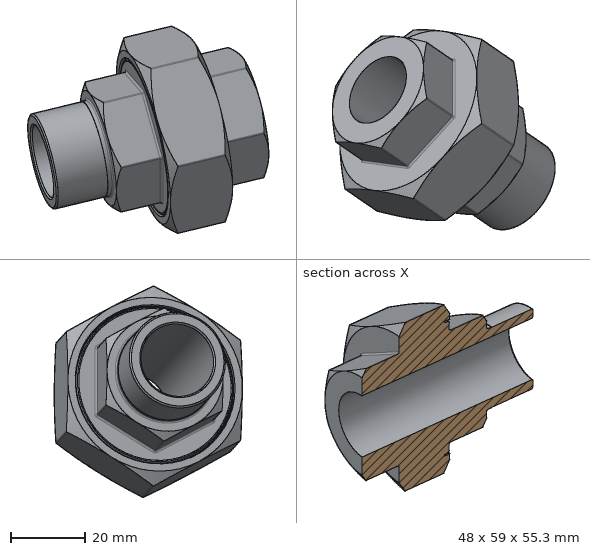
import cadquery as cq
import math


collar_start = 14.4
front_hex_start = 15.95
nut_start = 28.7
nut_end = 46.25
total_length = 59.0

nut_flats = 48.0
small_flats = 32.0
corner_rounding = 0.35
corner_chamfer_angle = 30.0
half_hex_sector = 360 / 12

bore_dia = 20.0
bore_chamfer = 0.44
spigot_dia = 26.45
spigot_tip_chamfer = 0.5
spigot_tip_chamfer_length = 0.4
collar_dia = 26.65
collar_fillet = 0.4

nut_mouth_dia = 44.0
seat_dia = 43.4
seat_chamfer = 0.35
pad_dia = 42.0
pad_height = 0.05
pad_recess = 0.2
gap_depth = 1.75
front_base_fillet = 0.6
rear_base_fillet = 0.5

plane_tolerance = 0.005


def cylinder(diameter, start, end):
    return cq.Workplane("XY").workplane(offset=start).circle(diameter / 2).extrude(end - start)


def hexagon(flats, start, end):
    """Hexagonal bar with flats facing +X and -X and slightly rounded corners."""
    across_corners = 2 * flats / math.sqrt(3)
    bar = cq.Workplane("XY").workplane(offset=start).polygon(6, across_corners).extrude(end - start)
    bar = bar.rotate((0, 0, 0), (0, 0, 1), half_hex_sector)
    return bar.edges("|Z").fillet(corner_rounding)


def bevelled_hexagon(flats, start, end, bevel_start, bevel_end):
    """Hexagon whose corners are turned down to a cone at the chosen ends."""
    face_radius = flats / 2
    outer_radius = flats / math.sqrt(3)
    bevel = (outer_radius - face_radius) * math.tan(math.radians(corner_chamfer_angle))
    start_radius = face_radius if bevel_start else outer_radius
    end_radius = face_radius if bevel_end else outer_radius
    envelope = (
        cq.Workplane("XZ")
        .moveTo(0, start)
        .lineTo(start_radius, start)
        .lineTo(outer_radius, start + bevel)
        .lineTo(outer_radius, end - bevel)
        .lineTo(end_radius, end)
        .lineTo(0, end)
        .close()
        .revolve(360, (0, 0, 0), (0, 1, 0))
    )
    return hexagon(flats, start, end).intersect(envelope)


def slab_at(level, reach):
    """Selector for whatever lies in one plane across the axis."""
    return cq.selectors.BoxSelector(
        (-reach, -reach, level - plane_tolerance),
        (reach, reach, level + plane_tolerance),
    )


def fillet_hex_base(body, flats, level, radius):
    """Round the inside corner where a hexagon meets the flat face at the given level."""
    side = flats / math.sqrt(3)
    at_level = body.edges(slab_at(level, flats))
    return at_level.filter(lambda edge: edge.Length() < side).fillet(radius)


def make_spigot():
    """Plain pipe end with a slightly larger collar against the front hexagon."""
    pipe = cylinder(spigot_dia, 0, collar_start)
    outer_radius = spigot_dia / 2
    tip = (
        cq.Workplane("XZ")
        .moveTo(outer_radius - spigot_tip_chamfer, 0)
        .lineTo(outer_radius, 0)
        .lineTo(outer_radius, spigot_tip_chamfer_length)
        .close()
        .revolve(360, (0, 0, 0), (0, 1, 0))
    )
    return pipe.cut(tip).union(cylinder(collar_dia, collar_start, front_hex_start))


def make_front_end():
    """Spigot, front hexagon and the round seat that sits in the mouth of the nut."""
    pad_face = nut_start + pad_recess
    seat_face = pad_face + pad_height
    seat_end = nut_start + gap_depth
    pad = cylinder(pad_dia, pad_face, seat_end)
    seat = cylinder(seat_dia, seat_face, seat_end).faces("<Z").edges().chamfer(seat_chamfer)
    hexagon_part = bevelled_hexagon(small_flats, front_hex_start, pad_face, True, False)
    body = hexagon_part.union(pad)
    body = fillet_hex_base(body, small_flats, pad_face, front_base_fillet)
    body = body.union(make_spigot())
    hex_face = body.faces(slab_at(front_hex_start, small_flats))
    collar_joint = hex_face.edges(cq.selectors.RadiusNthSelector(0))
    body = collar_joint.fillet(collar_fillet)
    return body.union(seat)


def make_nut():
    """Large hexagon with a round mouth that leaves a thin gap around the seat."""
    nut = bevelled_hexagon(nut_flats, nut_start, nut_end, True, True)
    return nut.cut(cylinder(nut_mouth_dia, nut_start, nut_start + gap_depth))


def make_nut_with_rear_hexagon():
    rear = bevelled_hexagon(small_flats, nut_end, total_length, False, True)
    return fillet_hex_base(make_nut().union(rear), small_flats, nut_end, rear_base_fillet)


def make_bore():
    """Straight bore through the whole fitting, chamfered at the spigot end."""
    mouth = (
        cq.Workplane("XY")
        .circle(bore_dia / 2 + bore_chamfer)
        .workplane(offset=bore_chamfer)
        .circle(bore_dia / 2)
        .loft()
    )
    return cylinder(bore_dia, 0, total_length).union(mouth)


fitting = make_nut_with_rear_hexagon().union(make_front_end()).cut(make_bore())
result = fitting.rotate((0, 0, 0), (1, 0, 0), -90)